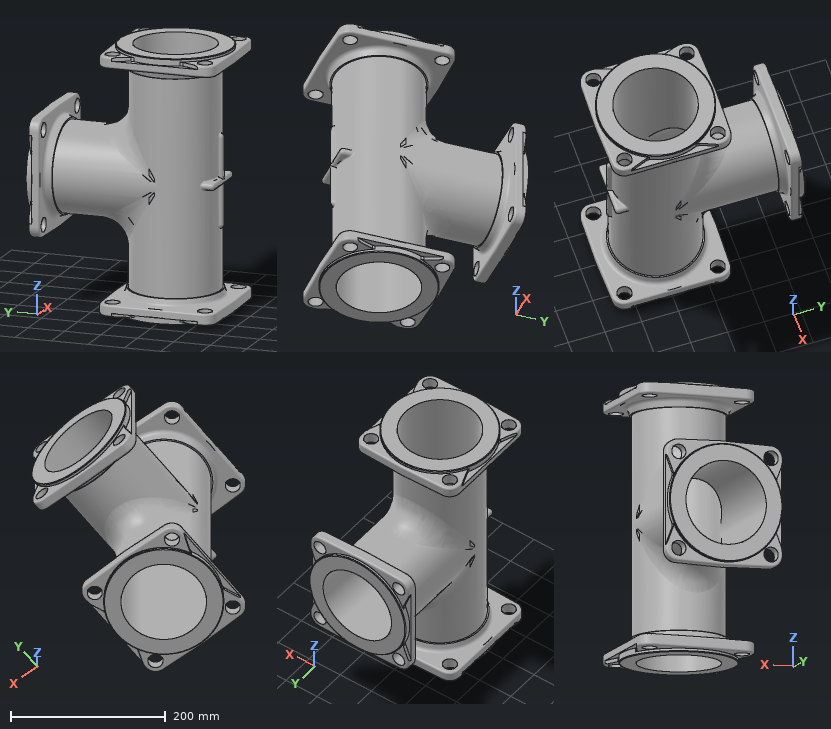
import cadquery as cq
import math

run_length = 356.0
face_distance = run_length / 2
pipe_radius = 61.2
bore_radius = 55.2

blend_radius = 37.0
blend_inset = 0.05
blend_sections = 15
blend_end_angle = math.radians(84)

plate_width = 160.0
plate_bulge = 2.3
plate_thickness = 15.5
corner_radius = 16.5
plate_edge_round = 3.0
face_height = 4.3
face_radius = 77.5
face_edge_chamfer = 1.0
bolt_circle_radius = 89.7
bolt_hole_diameter = 19.2

notch_depth = 9.3
notch_outer_y = 59.0
notch_inner_x = 71.0
notch_inner_y = 35.5

hub_base_radius = 67.0
hub_end_radius = 63.5
hub_length = 11.0
hub_fillet = 6.5

rib_width = 10.0
rib_height = 5.0
rib_root = 42.7
upright_length = 126.7
crossbar_length = 75.5
rib_base_fillet = 2.0
rib_crest_round = 4.3

plate_top = -face_height
plate_bottom = plate_top - plate_thickness
half_plate = plate_width / 2


def square_plate():
    """Square plate with rounded corners; the two sides facing Y swell towards their middle."""
    swell = half_plate + plate_bulge
    outline = [
        (half_plate, half_plate),
        (0, swell),
        (-half_plate, half_plate),
        (-half_plate, -half_plate),
        (0, -swell),
        (half_plate, -half_plate),
    ]
    plate = cq.Workplane("XY").workplane(offset=plate_bottom).polyline(outline).close().extrude(plate_thickness)
    plate = plate.edges("|Z and (>X or <X)").fillet(corner_radius)
    return plate.faces("<Z or >Z").edges().fillet(plate_edge_round)


def raised_face():
    """Round sealing face with a chamfered rim, reaching down through the plate."""
    disc = cq.Workplane("XY").circle(face_radius).extrude(plate_bottom)
    return disc.faces(">Z").chamfer(face_edge_chamfer)


def side_notches():
    """Cutters for the two X sides, bounded inside by the raised face cylinder."""
    outside = half_plate + 3.5
    outline = [
        (outside, notch_outer_y),
        (half_plate, notch_outer_y),
        (notch_inner_x, notch_inner_y),
        (notch_inner_x, -notch_inner_y),
        (half_plate, -notch_outer_y),
        (outside, -notch_outer_y),
    ]
    notch = cq.Workplane("XY").workplane(offset=-notch_depth).polyline(outline).close().extrude(notch_depth)
    notch = notch.cut(cq.Workplane("XY").circle(face_radius).extrude(-notch_depth))
    return notch.union(notch.mirror("YZ"))


def hub():
    """Tapered collar behind the plate, with a fillet where it meets the plate."""
    slope = math.atan2(hub_base_radius - hub_end_radius, hub_length)
    setback = hub_fillet * math.tan((math.pi / 2 - slope) / 2)
    flare_radius = hub_base_radius + setback
    cone_start = (hub_base_radius - setback * math.sin(slope), plate_bottom - setback * math.cos(slope))
    profile = (
        cq.Workplane("XZ")
        .moveTo(0, plate_top)
        .lineTo(flare_radius, plate_top)
        .lineTo(flare_radius, plate_bottom)
        .radiusArc(cone_start, -hub_fillet)
        .lineTo(hub_end_radius, plate_bottom - hub_length)
        .lineTo(0, plate_bottom - hub_length)
        .close()
    )
    return profile.revolve(360, (0, 0, 0), (0, 1, 0))


def bolt_holes():
    """Four cutters through the plate corners."""
    spacing = bolt_circle_radius * math.sqrt(2)
    corners = cq.Workplane("XY").rect(spacing, spacing, forConstruction=True).vertices()
    return corners.circle(bolt_hole_diameter / 2).extrude(plate_bottom)


def flange():
    """Complete flange with its sealing face on the XY plane, facing +Z."""
    plate = square_plate().cut(side_notches())
    return plate.union(raised_face()).union(hub()).cut(bolt_holes())


def junction_blend():
    """Saddle filling both inside corners of the tee, fading out towards the sides of the pipes."""
    radius = pipe_radius - blend_inset
    growth = 1 + blend_radius / radius
    arc_middle = growth - (growth - 1) / math.sqrt(2)
    sections = []
    for i in range(blend_sections):
        angle = blend_end_angle * (2 * i / (blend_sections - 1) - 1)
        near = radius * math.cos(angle)
        far = growth * near
        middle = arc_middle * near
        section = (
            cq.Workplane("YZ", origin=(radius * math.sin(angle), 0, 0))
            .moveTo(near, far)
            .threePointArc((middle, middle), (far, near))
            .lineTo(far, -near)
            .threePointArc((middle, -middle), (near, -far))
            .close()
        )
        sections.append(section.val())
    return cq.Workplane(cq.Solid.makeLoft(sections))


def rib(length):
    """Upright rib with round ends, rooted inside the wall of the run."""
    crest = pipe_radius + rib_height
    return cq.Workplane("XZ").workplane(offset=rib_root).slot2D(length, rib_width, 90).extrude(crest - rib_root)


def ribbed_run():
    """Solid run pipe carrying the rib cross, with rounded crests and a filleted seam."""
    half_run = face_distance - face_height
    run = cq.Workplane("XY").circle(pipe_radius).extrude(half_run, both=True)
    crossbar = rib(crossbar_length).rotate((0, 0, 0), (0, 1, 0), 90)
    cross = rib(upright_length).union(crossbar)
    ribbed = run.union(cross)
    pipe_wall = max(ribbed.faces("%CYLINDER").vals(), key=lambda face: face.Area())
    seam = pipe_wall.innerWires()[0].Edges()
    ribbed = ribbed.newObject(seam).fillet(rib_base_fillet)
    return ribbed.faces("<Y").edges().fillet(rib_crest_round)


def tee():
    """Solid run and branch pipes joined by the blend."""
    branch = cq.Workplane("XZ").circle(pipe_radius).extrude(-(face_distance - face_height))
    return ribbed_run().union(branch).union(junction_blend())


def bores():
    """Cutter for the passages through the run and the branch."""
    run_bore = cq.Workplane("XY").circle(bore_radius).extrude(face_distance, both=True)
    branch_bore = cq.Workplane("XZ").circle(bore_radius).extrude(-face_distance)
    return run_bore.union(branch_bore)


top_flange = flange().translate((0, 0, face_distance))
bottom_flange = top_flange.mirror("XY")
branch_flange = top_flange.rotate((0, 0, 0), (1, 0, 0), -90)
result = tee().union(top_flange).union(bottom_flange).union(branch_flange).cut(bores())